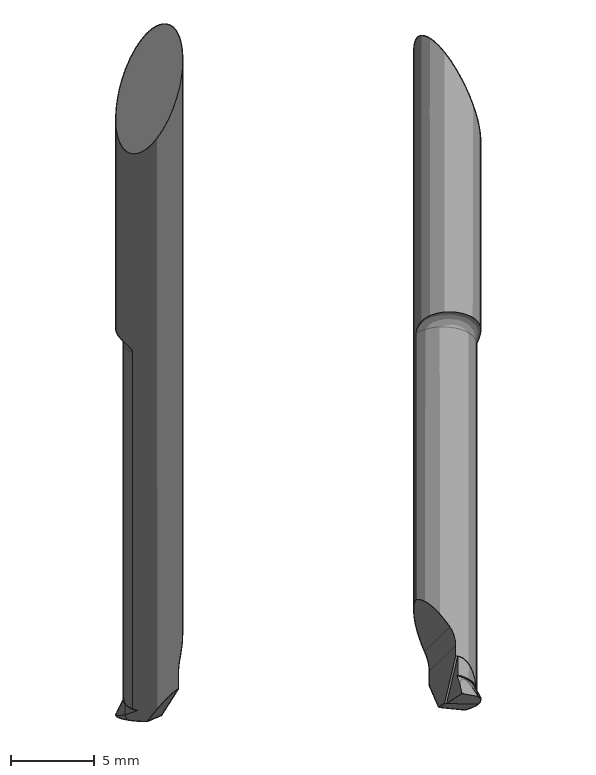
import cadquery as cq
import math

length = 45.7
radius = 2.0
reach = 3 * radius

top_angle = 30.0

neck_depth = 0.55
neck_edge_x = 0.2
neck_top = 25.4
neck_fillet = 0.8
neck_left = neck_depth - radius
neck_x = (neck_edge_x**2 + (radius**2 - neck_edge_x**2) - neck_left**2) / (2 * (neck_edge_x - neck_left))
neck_radius = neck_x - neck_left

head_height = 1.55
head_waist_radius = neck_radius - 0.1
head_rim_radius = neck_x + radius + 0.1
side_angle = 20.0
end_angle = 9.0
clearance_angle = 12.0

shank_flat_y = 0.2
rake_y = 0.05
relief_top = 7.1
relief_foot = 4.2
relief_fillet = 2.3
bevel_height = 2.55
bevel_angle = 30.0

joint_z = 0.3
joint_angle = 60.0


def make_bar():
    """Full cylinder with a slanted upper end, highest at +Y."""
    low_side = length - 2 * radius / math.tan(math.radians(top_angle))
    outline = [(-radius, 0), (radius, 0), (radius, length), (-radius, low_side)]
    wedge = cq.Workplane("YZ").polyline(outline).close().extrude(radius, both=True)
    return cq.Workplane("XY").circle(radius).extrude(length).intersect(wedge)


def neck_cutter():
    """Ring around the neck axis with a filleted upper shoulder."""
    outer = neck_radius + neck_fillet
    bend = neck_fillet * math.sqrt(0.5)
    profile = (
        cq.Workplane("XZ", origin=(neck_x, 0, 0))
        .moveTo(neck_radius, head_height)
        .lineTo(neck_radius, neck_top)
        .threePointArc((outer - bend, neck_top + bend), (outer, neck_top + neck_fillet))
        .lineTo(reach, neck_top + neck_fillet)
        .lineTo(reach, head_height)
        .close()
    )
    return profile.revolve(360, (0, 0, 0), (0, 1, 0))


def head_envelope():
    """Flared cone bounded by the end and side flanks."""
    cone = (
        cq.Workplane("XZ", origin=(neck_x, 0, 0))
        .polyline([(0, 0), (head_rim_radius, 0), (head_waist_radius, head_height), (0, head_height)])
        .close()
        .revolve(360, (0, 0, 0), (0, 1, 0))
    )
    end_rise = (reach + radius) * math.tan(math.radians(end_angle))
    side_shift = reach * math.tan(math.radians(side_angle))
    outline = [(-radius, 0), (reach, end_rise), (reach, reach), (side_shift - radius, reach)]
    rake_plane = cq.Workplane("XZ", origin=(0, rake_y, 0))
    flanks = rake_plane.polyline(outline).close().extrude(radius + rake_y, taper=clearance_angle)
    behind = rake_plane.polyline(outline).close().extrude(-radius)
    return cone.intersect(flanks.union(behind))


def relief_cutter():
    """Removes the +Y half of the lower end, blending into a slope."""
    outline = [
        (shank_flat_y, 0),
        (shank_flat_y, relief_foot),
        (radius, relief_top),
        (reach, relief_top),
        (reach, 0),
    ]
    block = cq.Workplane("YZ").polyline(outline).close().extrude(radius, both=True)
    foot = cq.selectors.NearestToPointSelector((0, shank_flat_y, relief_foot))
    return block.edges(foot).fillet(relief_fillet)


def bevel_cutter():
    """Wedge off the +X side of the lower end."""
    inset = bevel_height * math.tan(math.radians(bevel_angle))
    outline = [(radius, bevel_height), (radius - inset, 0), (radius, 0)]
    return cq.Workplane("XZ").polyline(outline).close().extrude(radius, both=True)


def tip_region():
    """Space on the -X side of the joint plane."""
    slope = math.tan(math.radians(joint_angle))
    top = joint_z + reach * slope
    foot_x = (joint_z + reach) / slope
    outline = [(-reach, -reach), (foot_x, -reach), (-reach, top)]
    return cq.Workplane("XZ").polyline(outline).close().extrude(reach, both=True)


def make_tool():
    """Complete tool before it is split into shank and tip."""
    bar = make_bar()
    head_slab = cq.Workplane("XY").circle(reach).extrude(head_height)
    head = bar.intersect(head_envelope())
    body = bar.cut(neck_cutter()).cut(head_slab).union(head)
    return body.cut(relief_cutter()).cut(bevel_cutter())


def make_shank(tool):
    return tool.cut(tip_region())


def make_tip(tool):
    """Part beyond the joint, ground down to the rake face."""
    above_rake = cq.Workplane("XZ", origin=(0, rake_y, 0)).rect(2 * reach, 4 * reach).extrude(-reach)
    return tool.intersect(tip_region()).cut(above_rake)


tool = make_tool()
shank = make_shank(tool)
tip = make_tip(tool)
result = cq.Compound.makeCompound([*shank.vals(), *tip.vals()])